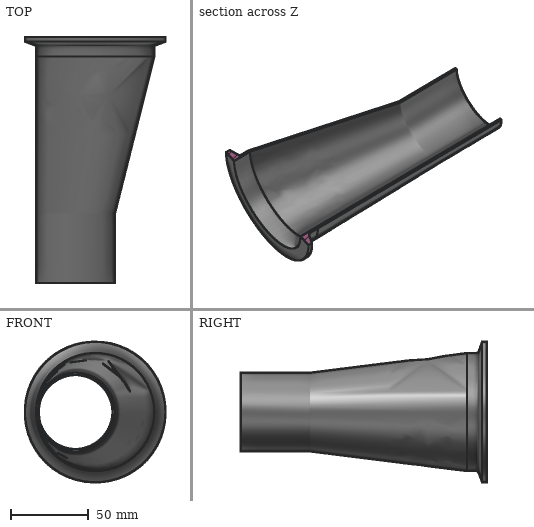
import cadquery as cq
import math

total_length = 158.8
flange_diameter = 90.8
large_diameter = 76.2
small_diameter = 50.8
wall = 1.6

ferrule_length = 12.7
rim_thickness = 3.0
back_angle = math.radians(20)
neck_fillet = 1.3

tube_length = 44.8
flange_radius = flange_diameter / 2
large_radius = large_diameter / 2
small_radius = small_diameter / 2
small_offset = small_radius - large_radius
taper_end = total_length - tube_length


def make_ferrule():
    """Revolved clamp flange with a sloped back, a filleted neck and a through bore."""
    bore_radius = large_radius - wall
    fillet_start_radius = large_radius + neck_fillet * (1 - math.sin(back_angle))
    fillet_start = rim_thickness + (flange_radius - fillet_start_radius) * math.tan(back_angle)
    fillet_end = fillet_start + neck_fillet * math.cos(back_angle)
    middle_angle = (math.pi / 2 + back_angle) / 2
    fillet_middle = (
        large_radius + neck_fillet * (1 - math.sin(middle_angle)),
        -fillet_end + neck_fillet * math.cos(middle_angle),
    )
    return (
        cq.Workplane("XY")
        .moveTo(bore_radius, 0)
        .lineTo(flange_radius, 0)
        .lineTo(flange_radius, -rim_thickness)
        .lineTo(fillet_start_radius, -fillet_start)
        .threePointArc(fillet_middle, (large_radius, -fillet_end))
        .lineTo(large_radius, -ferrule_length)
        .lineTo(bore_radius, -ferrule_length)
        .close()
        .revolve(360, (0, 0, 0), (0, 1, 0))
    )


def make_reducer_form(inset):
    """Solid taper and straight tube, with both radii reduced by the inset."""
    end_radius = small_radius - inset
    taper = (
        cq.Workplane("XZ", origin=(0, -ferrule_length, 0))
        .circle(large_radius - inset)
        .workplane(offset=taper_end - ferrule_length)
        .center(small_offset, 0)
        .circle(end_radius)
        .loft(ruled=True)
    )
    tube = (
        cq.Workplane("XZ", origin=(small_offset, -taper_end, 0))
        .circle(end_radius)
        .extrude(tube_length)
    )
    return taper.union(tube)


def make_reducer():
    """Thin-walled eccentric reducer, open at both ends."""
    return make_reducer_form(0).cut(make_reducer_form(wall))


ferrule = make_ferrule()
reducer = make_reducer()

result = cq.Compound.makeCompound([ferrule.val(), reducer.solids().val()])